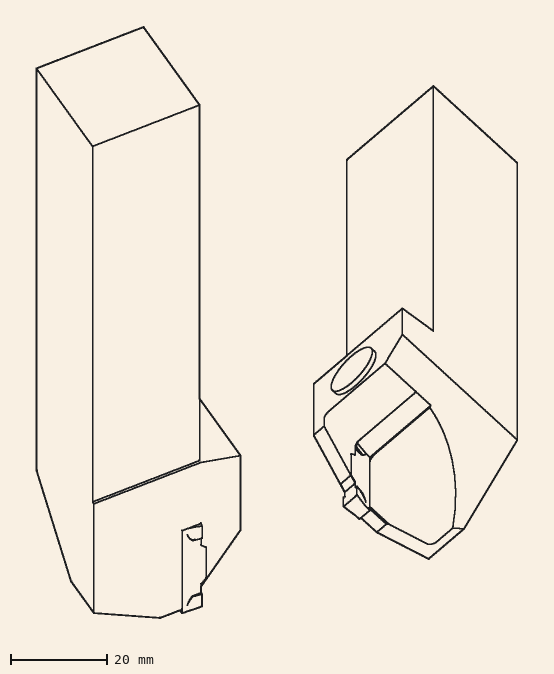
import cadquery as cq


total_length = 152.4
shank_width = 25.0
shank_depth = 25.1
head_width = 25.6
head_depth = 34.5
head_top = 43.9
head_shoulder = 41.3
jaw_bottom = 18.6
jaw_tip_z = 6.0
front_bottom = 10.5
blade_bottom = 1.2
blade_nose_y = 15.5

bevel_top = 29.7
bevel_run = 10.0
bevel_drop = 12.5
bevel_slope = bevel_drop / bevel_run

blade_thickness = 3.0
blade_side = head_width - blade_thickness
relief_top = 23.5
relief_radius = 25.9
relief_center_y = 25.5
relief_fillet = 1.5

screw_diameter = 11.9
screw_x = 13.5
screw_z = 30.6
screw_height = 1.0

insert_length = 25.3
insert_bottom_y = 20.7
insert_rake_y = shank_depth
ridge_y = 26.4
ridge_start = 6.7
ridge_rise = ridge_y - insert_rake_y
tip_width = 4.0
tip_length = 4.1
tip_bottom_y = 22.0
tip_flat_y = 23.2
tip_corner_radius = 0.6
insert_center_x = head_width - blade_thickness / 2

select_gap = 0.2
margin = 7.6


def extrude_x(profile, start, end):
    """Extrude a profile drawn in YZ from x = start to x = end."""
    return profile.extrude(end - start).translate((start, 0, 0))


def make_tip_outline(end_z, inner_z):
    """Side outline of a tip, with its inner lower corner rounded over."""
    drop = tip_flat_y - tip_bottom_y
    diagonal = 0.5 ** 0.5
    outline = (
        cq.Workplane("YZ")
        .moveTo(insert_rake_y, end_z)
        .lineTo(insert_rake_y, inner_z)
        .lineTo(tip_flat_y, inner_z)
        .threePointArc(
            (tip_flat_y - drop * diagonal, end_z + (inner_z - end_z) * diagonal),
            (tip_bottom_y, end_z))
        .close()
    )
    return extrude_x(outline, 0, head_width + margin)


def make_rounded_envelope():
    """Bar that rounds the outer corners of both tips."""
    return (
        cq.Workplane("XY")
        .box(tip_width, ridge_y, insert_length)
        .edges("|Y").fillet(tip_corner_radius)
        .translate((insert_center_x, ridge_y / 2, insert_length / 2))
    )


def make_insert():
    body = extrude_x(
        cq.Workplane("YZ").polyline([
            (insert_bottom_y, 0),
            (insert_rake_y, 0),
            (insert_rake_y, ridge_start),
            (ridge_y, ridge_start + ridge_rise),
            (ridge_y, insert_length - ridge_start - ridge_rise),
            (insert_rake_y, insert_length - ridge_start),
            (insert_rake_y, insert_length),
            (insert_bottom_y, insert_length),
        ]).close(),
        blade_side, head_width)
    for end_z, inner_z in ((0, tip_length), (insert_length, insert_length - tip_length)):
        tip = (
            cq.Workplane("XY").workplane(offset=end_z)
            .polyline([
                (insert_center_x - tip_width / 2, insert_rake_y),
                (insert_center_x + tip_width / 2, insert_rake_y),
                (head_width, tip_bottom_y),
                (blade_side, tip_bottom_y),
            ]).close()
            .extrude(inner_z - end_z)
        )
        body = body.union(tip.intersect(make_tip_outline(end_z, inner_z)))
    return body.intersect(make_rounded_envelope())


def make_shank_and_head():
    shank = cq.Workplane("XY").box(
        shank_width, shank_depth, total_length - head_top, centered=False
    ).translate((0, 0, head_top))
    head = extrude_x(
        cq.Workplane("YZ").polyline([
            (0, head_top),
            (0, front_bottom),
            (blade_nose_y, blade_bottom),
            (insert_bottom_y, blade_bottom),
            (shank_depth, jaw_tip_z),
            (head_depth, jaw_bottom),
            (head_depth, head_shoulder),
            (shank_depth, head_top),
        ]).close(),
        0, head_width)
    return shank.union(head)


def make_bevel_cut():
    bottom = -margin
    return (
        cq.Workplane("XZ")
        .polyline([
            (-margin, bevel_top + margin * bevel_slope),
            ((bevel_top - bottom) / bevel_slope, bottom),
            (-margin, bottom),
        ]).close()
        .extrude(-(head_depth + margin))
    )


def make_relief_cut():
    """Space beside the blade, rounded where its ceiling meets the blade side."""
    back = head_depth + margin
    center_z = relief_top - relief_radius
    arc_mid = relief_radius * 0.5 ** 0.5
    space = extrude_x(
        cq.Workplane("YZ")
        .moveTo(back, center_z)
        .lineTo(back, relief_top)
        .lineTo(relief_center_y, relief_top)
        .threePointArc(
            (relief_center_y - arc_mid, center_z + arc_mid),
            (relief_center_y - relief_radius, center_z))
        .close(),
        -margin, blade_side)
    ceiling_edges = cq.selectors.BoxSelector(
        (blade_side - select_gap, -margin, center_z + select_gap),
        (blade_side + select_gap, back - select_gap, relief_top + select_gap))
    return space.edges(ceiling_edges).fillet(relief_fillet)


def make_seat_clearance():
    """Square notch through the rounded ceiling so the insert can slide in."""
    return cq.Workplane("XY").box(
        blade_side, insert_rake_y - insert_bottom_y, relief_top, centered=False
    ).translate((0, insert_bottom_y, 0))


def make_screw_head():
    return (
        cq.Workplane("XZ", origin=(screw_x, head_depth, screw_z))
        .circle(screw_diameter / 2)
        .extrude(-screw_height)
    )


def make_holder(insert):
    return (
        make_shank_and_head()
        .cut(make_bevel_cut())
        .cut(make_relief_cut())
        .cut(make_seat_clearance())
        .union(make_screw_head())
        .cut(insert)
    )


cutting_insert = make_insert()
holder = make_holder(cutting_insert)

result = cq.Compound.makeCompound([*holder.solids().vals(), *cutting_insert.solids().vals()])